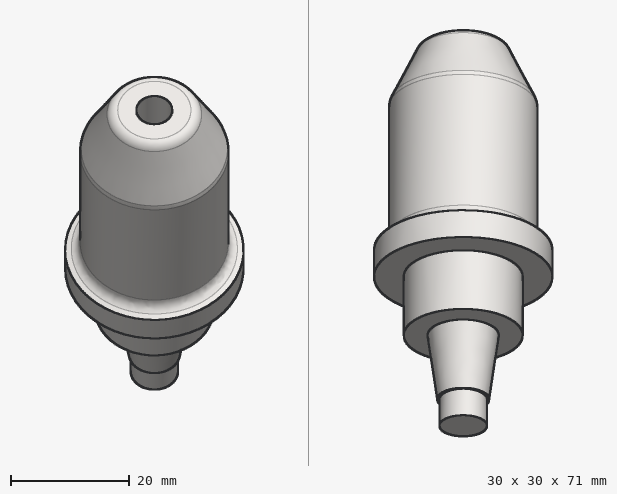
import cadquery as cq
import math

total_height = 71.0
tip_top = 5.0
taper_top = 17.0
neck_top = 28.0
flange_rim_top = 33.0
nose_base = 60.2

tip_diameter = 8.0
taper_small_diameter = 8.7
taper_large_diameter = 12.0
neck_diameter = 20.0
flange_diameter = 30.0
body_diameter = 25.0
nose_top_diameter = 14.85
bore_diameter = 6.0

flange_slope = 15.0
body_foot = flange_rim_top + (flange_diameter - body_diameter) / 2 * math.tan(math.radians(flange_slope))

flange_fillet = 2.0
shoulder_round = 2.0
nose_round = 2.0

bore_depth = total_height - flange_rim_top


def turned_body():
    """Revolve the stepped outline, with sharp corners, about the Z axis."""
    outline = [
        (0, 0),
        (tip_diameter / 2, 0),
        (tip_diameter / 2, tip_top),
        (taper_small_diameter / 2, tip_top),
        (taper_large_diameter / 2, taper_top),
        (neck_diameter / 2, taper_top),
        (neck_diameter / 2, neck_top),
        (flange_diameter / 2, neck_top),
        (flange_diameter / 2, flange_rim_top),
        (body_diameter / 2, body_foot),
        (body_diameter / 2, nose_base),
        (nose_top_diameter / 2, total_height),
        (0, total_height),
    ]
    return cq.Workplane("XZ").polyline(outline).close().revolve(360, (0, 0), (0, 1))


def round_edge(body, height, radius):
    """Round the only circular edge lying at the given height."""
    slab = 0.01
    reach = flange_diameter
    level = cq.selectors.BoxSelector(
        (-reach, -reach, height - slab), (reach, reach, height + slab), boundingbox=True
    )
    return body.edges("%CIRCLE").edges(level).fillet(radius)


body = turned_body()
body = round_edge(body, body_foot, flange_fillet)
body = round_edge(body, nose_base, shoulder_round)
body = round_edge(body, total_height, nose_round)
result = body.faces(">Z").workplane().hole(bore_diameter, bore_depth)